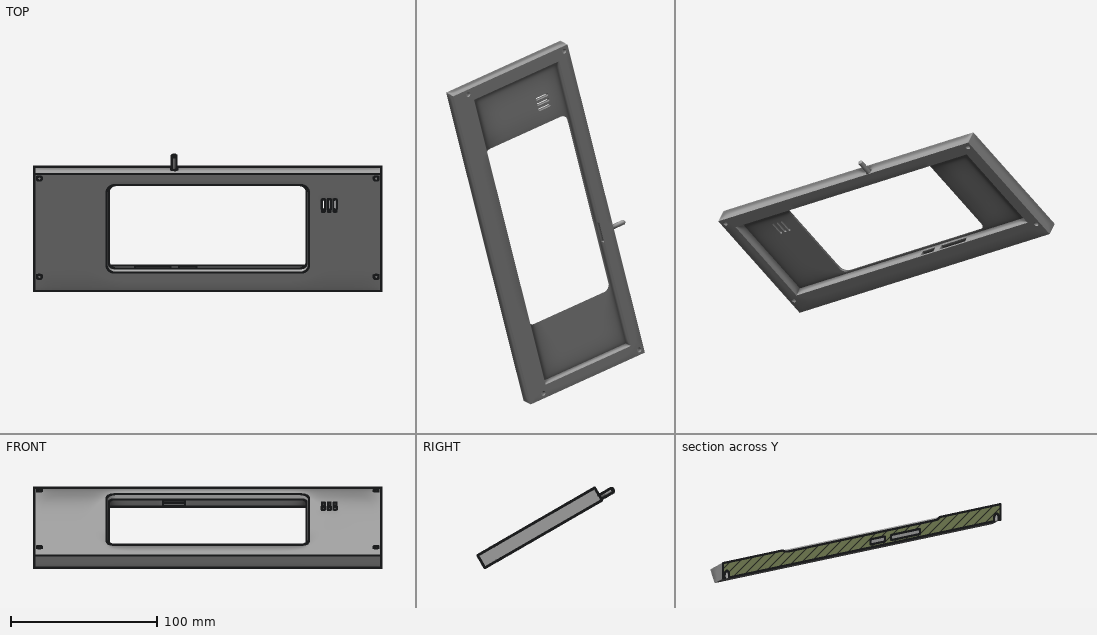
import cadquery as cq
import math

tilt = 30.0
width = 237.69
length = 92.6
thickness = 10.0
face_thickness = 3.0

window_width = 138.5
window_bottom = 14.5
top_wall = 9.0
window_top = length - top_wall
window_corner_radius = 6.0
window_bevel = 1.7
side_wall = 9.0

screw_diameter = 3.4
screw_side_offset = 3.6
screw_top_offset = 3.7
screw_bottom_offset = 11.2

slot_count = 3
slot_pitch = 4.0
slot_width = 2.0
slot_length = 10.0
slot_centre_x = 83.1
slot_centre_y = 67.5

notch_depth = 3.0
notch_top = 5.0
notch_bottom = 8.8
pin_notch_width = 15.0
lower_notches = [(-37.7, 24.3), (-13.7, 12.1)]

pin_diameter = 3.4
pin_x = -23.0
pin_depth = 7.5
pin_reach = 10.34
pin_seat = 4.0
pin_chamfer = 0.8
pin_recess_diameter = 4.6
pin_recess_depth = 1.0


def box_between(x_range, y_range, z_range):
    """Box that spans the three given ranges."""
    sizes = [high - low for low, high in (x_range, y_range, z_range)]
    lows = (x_range[0], y_range[0], z_range[0])
    return cq.Workplane("XY").box(*sizes, centered=False).translate(lows)


def upper_cylinder(diameter, start, end):
    """Cylinder on the pin axis, between two distances from the lower edge."""
    axis = cq.Workplane("XZ", origin=(pin_x, start, -pin_depth))
    return axis.circle(diameter / 2).extrude(start - end)


def window_cutter():
    """Rounded opening that narrows toward the back of the face."""
    height = window_top - window_bottom
    centre_y = (window_top + window_bottom) / 2
    bevel_angle = math.degrees(math.atan(window_bevel / face_thickness))
    outline = cq.Sketch().rect(window_width, height).vertices().fillet(window_corner_radius)
    face = cq.Workplane("XY", origin=(0, centre_y, 0))
    return face.placeSketch(outline).extrude(-face_thickness, taper=bevel_angle)


def screw_holes():
    """Through holes in the four corners."""
    screw_x = width / 2 - screw_side_offset
    rows = (screw_bottom_offset, length - screw_top_offset)
    points = [(x, y) for x in (-screw_x, screw_x) for y in rows]
    return cq.Workplane("XY").pushPoints(points).circle(screw_diameter / 2).extrude(-thickness)


def vent_slots():
    """Row of round-ended slots through the face."""
    row = cq.Workplane("XY", origin=(slot_centre_x, slot_centre_y, 0))
    slots = row.rarray(slot_pitch, 1, slot_count, 1).slot2D(slot_length, slot_width, 90)
    return slots.extrude(-face_thickness)


def notch(centre_x, notch_width, y_range):
    """Rectangular notch cut sideways into a wall of the hollow."""
    x_range = (centre_x - notch_width / 2, centre_x + notch_width / 2)
    return box_between(x_range, y_range, (-notch_bottom, -notch_top))


def make_housing():
    half = width / 2
    inside = half - side_wall
    body = box_between((-half, half), (0, length), (-thickness, 0))
    hollow = box_between(
        (-inside, inside), (window_bottom, window_top), (-thickness, -face_thickness)
    )
    body = body.cut(hollow).cut(window_cutter()).cut(screw_holes()).cut(vent_slots())

    body = body.cut(notch(pin_x, pin_notch_width, (window_top, window_top + notch_depth)))
    for centre_x, notch_width in lower_notches:
        body = body.cut(notch(centre_x, notch_width, (window_bottom - notch_depth, window_bottom)))

    body = body.cut(upper_cylinder(pin_diameter, length - pin_seat, length))
    return body.cut(upper_cylinder(pin_recess_diameter, length - pin_recess_depth, length))


def make_pin():
    pin = upper_cylinder(pin_diameter, length - pin_seat, length + pin_reach)
    return pin.faces(">Y").chamfer(pin_chamfer)


def lean_back(body):
    """Tilt a body about its lower front edge."""
    return body.rotate((0, 0, 0), (1, 0, 0), tilt)


housing = lean_back(make_housing())
pin = lean_back(make_pin())

result = cq.Compound.makeCompound([housing.val(), pin.val()])